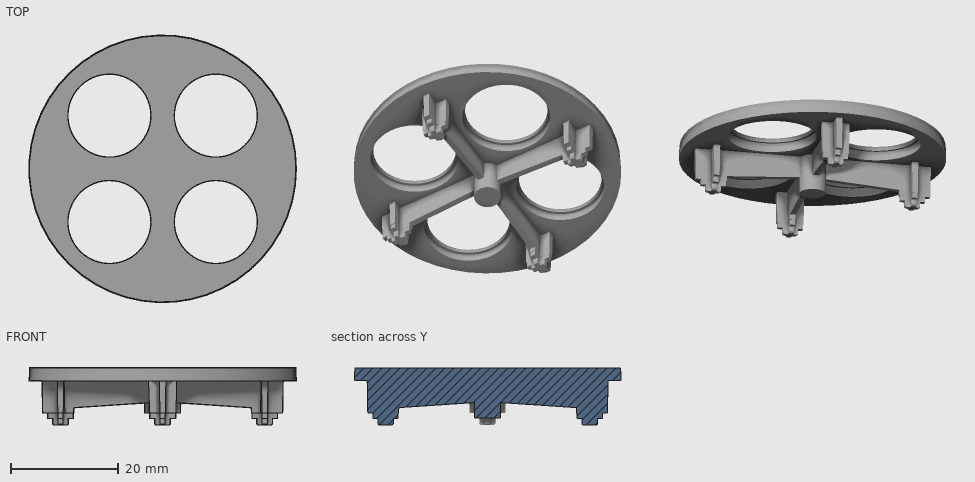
import cadquery as cq
import math

DISC_BOTTOM_DIAMETER = 49.8
DISC_THICKNESS = 2.5
DISC_DRAFT = 2.8
TOTAL_HEIGHT = 10.71

OPENING_COUNT = 4
OPENING_START_ANGLE = 45
OPENING_CIRCLE_RADIUS = 14.0
OPENING_DIAMETER = 15.4
OPENING_LIP_THICKNESS = 0.8
RECESS_DIAMETER = 16.4

PEG_CIRCLE_RADIUS = 19.0
PEG_ANGLES = (0, 90, 180, 270)
KEYED_PEG_ANGLE = 90
PEG_DRAFT = 1.0
FIN_REACH = 2.6
LONG_FIN_REACH = 3.45
FIN_HALF_THICKNESS = 0.6
CORNER_RADIUS = 0.35
SHOULDER_DEPTH = 8.46

COLLAR_DEPTH = 9.5
COLLAR_DIAMETER = 4.8
COLLAR_FIN_HALF_THICKNESS = 0.48
TIP_DIAMETER = 2.98
TIP_END_DIAMETER = 2.49

POST_DIAMETER = 4.95
POST_DEPTH = 9.4
RIB_TOP_HALF_THICKNESS = 0.72
RIB_DRAFT = 2.0
RIB_INNER_DEPTH = 6.4
RIB_OUTER_DEPTH = 7.5
RIB_STEP_RADIUS = PEG_CIRCLE_RADIUS - 2.5


def make_disc():
    """Drafted disc, wider at the bottom."""
    draft_offset = DISC_THICKNESS * math.tan(math.radians(DISC_DRAFT))
    top_radius = DISC_BOTTOM_DIAMETER / 2 - draft_offset
    return cq.Workplane("XY").circle(top_radius).extrude(-DISC_THICKNESS, taper=-DISC_DRAFT)


def make_opening_cylinders(diameter, top_depth):
    """Cylinders on the opening circle, from the given depth down to the disc underside."""
    return (
        cq.Workplane("XY")
        .workplane(offset=-top_depth)
        .polarArray(OPENING_CIRCLE_RADIUS, OPENING_START_ANGLE, 360, OPENING_COUNT)
        .circle(diameter / 2)
        .extrude(top_depth - DISC_THICKNESS)
    )


def cross_outline(top_depth, half_thickness, outward_reach, side_reach):
    """Cross with rounded inside corners; its outward fin points along +X."""
    t = half_thickness
    corner = half_thickness + CORNER_RADIUS
    return (
        cq.Workplane("XY")
        .workplane(offset=-top_depth)
        .moveTo(outward_reach, -t)
        .lineTo(outward_reach, t)
        .lineTo(corner, t)
        .radiusArc((t, corner), CORNER_RADIUS)
        .lineTo(t, side_reach)
        .lineTo(-t, side_reach)
        .lineTo(-t, corner)
        .radiusArc((-corner, t), CORNER_RADIUS)
        .lineTo(-FIN_REACH, t)
        .lineTo(-FIN_REACH, -t)
        .lineTo(-corner, -t)
        .radiusArc((-t, -corner), CORNER_RADIUS)
        .lineTo(-t, -side_reach)
        .lineTo(t, -side_reach)
        .lineTo(t, -corner)
        .radiusArc((corner, -t), CORNER_RADIUS)
        .close()
    )


def make_peg_end_envelope():
    """Turned shape that trims the cross to the collar and the chamfered tip."""
    collar_radius = COLLAR_DIAMETER / 2
    tip_radius = TIP_DIAMETER / 2
    tip_end_radius = TIP_END_DIAMETER / 2
    tip_chamfer = tip_radius - tip_end_radius
    profile = [
        (0, -SHOULDER_DEPTH),
        (collar_radius, -SHOULDER_DEPTH),
        (collar_radius, -COLLAR_DEPTH),
        (tip_radius, -COLLAR_DEPTH),
        (tip_radius, tip_chamfer - TOTAL_HEIGHT),
        (tip_end_radius, -TOTAL_HEIGHT),
        (0, -TOTAL_HEIGHT),
    ]
    return cq.Workplane("XZ").polyline(profile).close().revolve(360, (0, 0, 0), (0, 1, 0))


def make_peg(side_reach):
    """Peg on the +X axis, with its long fin pointing away from the centre."""
    upper = cross_outline(DISC_THICKNESS, FIN_HALF_THICKNESS, LONG_FIN_REACH, side_reach)
    upper = upper.extrude(DISC_THICKNESS - SHOULDER_DEPTH, taper=PEG_DRAFT)
    lower = cross_outline(SHOULDER_DEPTH, COLLAR_FIN_HALF_THICKNESS, FIN_REACH, FIN_REACH)
    lower = lower.extrude(SHOULDER_DEPTH - TOTAL_HEIGHT)
    peg = upper.union(lower.intersect(make_peg_end_envelope()))
    return peg.translate((PEG_CIRCLE_RADIUS, 0, 0))


def make_rib():
    """Drafted rib along +X; its lower edge slopes down, then steps to the peg shoulder."""
    slab = (
        cq.Workplane("XY")
        .workplane(offset=-DISC_THICKNESS)
        .center(PEG_CIRCLE_RADIUS / 2, 0)
        .rect(PEG_CIRCLE_RADIUS, 2 * RIB_TOP_HALF_THICKNESS)
        .extrude(DISC_THICKNESS - SHOULDER_DEPTH, taper=RIB_DRAFT)
    )
    side_profile = [
        (0, -DISC_THICKNESS),
        (PEG_CIRCLE_RADIUS, -DISC_THICKNESS),
        (PEG_CIRCLE_RADIUS, -SHOULDER_DEPTH),
        (RIB_STEP_RADIUS, -SHOULDER_DEPTH),
        (RIB_STEP_RADIUS, -RIB_OUTER_DEPTH),
        (0, -RIB_INNER_DEPTH),
    ]
    side = (
        cq.Workplane("XZ")
        .polyline(side_profile)
        .close()
        .extrude(RIB_TOP_HALF_THICKNESS, both=True)
    )
    return slab.intersect(side)


result = make_disc()
result = result.cut(make_opening_cylinders(OPENING_DIAMETER, 0))
result = result.cut(make_opening_cylinders(RECESS_DIAMETER, OPENING_LIP_THICKNESS))
result = result.union(cq.Workplane("XY").circle(POST_DIAMETER / 2).extrude(-POST_DEPTH))

for angle in PEG_ANGLES:
    side_reach = LONG_FIN_REACH if angle == KEYED_PEG_ANGLE else FIN_REACH
    arm = make_peg(side_reach).union(make_rib())
    result = result.union(arm.rotate((0, 0, 0), (0, 0, 1), angle))